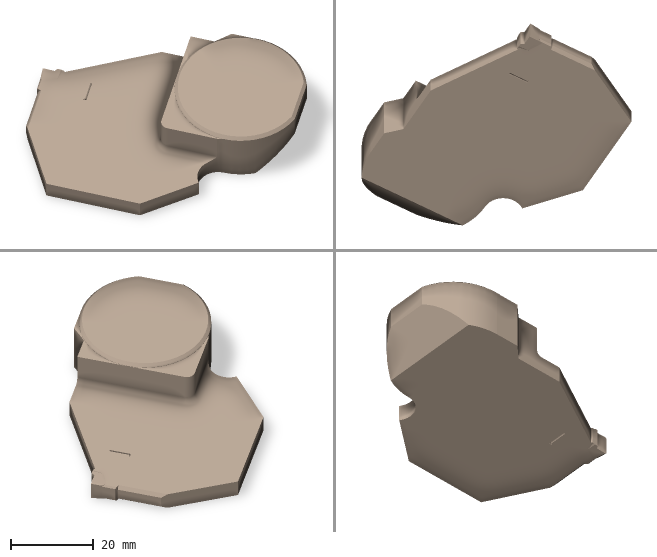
import cadquery as cq
import math

plate_thickness = 4.5
total_top = 13.75
shoulder_top = 12.9

disc_radius = 16.0
disc_flat_x = 15.0
disc_rim_chamfer = 0.75
disc_relief = 7.5

block_left = -16.0
block_front = -16.25
back_y = 12.6
block_corner_radius = 2.0
block_root_radius = 1.5
tab_left = -6.6
selection_margin = 0.1

plate_left = -49.0
plate_front = -34.0
plate_edge_chamfer = 0.8
plate_back_corner_x = -23.2
plate_front_left_x = -39.4
plate_front_right_x = -16.0
back_slope = math.radians(30)
front_slope = math.radians(60)

notch_radius = 5.0
notch_center_y = -disc_radius - notch_radius
notch_tip = (-4.0, -24.0)

insert_tip_x = -49.6
insert_left = -49.4
insert_left_relief_y = -2.6
insert_top = 0.8
insert_bottom = -6.5
insert_right = -36.9
pocket_overrun = 1.0
insert_corner_rise = 0.5
insert_corner_run = 1.0
insert_end_chamfer = 0.4
nose_end_x = -46.6
nose_rise_x = -46.1
neck_top = (-44.35, insert_top)
neck_root = (-43.8, -0.3)
seam_bend = (-41.2, -0.35)
heel_top = (insert_right, -1.28)

head_overhang = 0.3
head_crest_x = -49.2
head_bevel_drop = 0.2
head_bevel_low_drop = 0.1
head_low = (-48.74, -3.67)
head_end = (-45.33, -1.92)
step_foot = (-44.8, insert_top)
step_crest_x = -45.25
step_height = 0.2


def make_plate():
    """Flat plate with the two long slopes and the chamfered left edge."""
    left_back_y = back_y - (plate_back_corner_x - plate_left) * math.tan(back_slope)
    left_front_y = plate_front + (plate_front_left_x - plate_left) * math.tan(front_slope)
    outline = [
        (plate_left, left_back_y),
        (plate_left, left_front_y),
        (plate_front_left_x, plate_front),
        (plate_front_right_x, plate_front),
        notch_tip,
        (0, -disc_radius),
        (0, back_y),
        (plate_back_corner_x, back_y),
    ]
    plate = cq.Workplane("XY").polyline(outline).close().extrude(plate_thickness)
    return plate.faces("<X").edges("|Y").chamfer(plate_edge_chamfer)


def make_block():
    """Shoulder block with a rounded front-left corner."""
    block = (
        cq.Workplane("XY")
        .moveTo(block_left, block_front)
        .lineTo(0, block_front)
        .lineTo(0, back_y)
        .lineTo(block_left, back_y)
        .close()
        .extrude(shoulder_top)
    )
    return block.edges("|Z and <X and <Y").fillet(block_corner_radius)


def make_tab():
    """Sloped corner that joins the block to the back of the disc."""
    tab_rise = disc_radius - back_y
    return (
        cq.Workplane("XY")
        .polyline([
            (tab_left - tab_rise, back_y),
            (0, back_y),
            (0, disc_radius),
            (tab_left, disc_radius),
        ])
        .close()
        .extrude(shoulder_top)
    )


def make_disc():
    """Disc with a flat on its right side, a chamfered rim and a sloped relief under the flat."""
    beyond = disc_radius - disc_flat_x
    flat_cut = (
        cq.Workplane("XY")
        .box(beyond, 2 * disc_radius, total_top, centered=(False, True, False))
        .translate((disc_flat_x, 0, 0))
    )
    disc = cq.Workplane("XY").circle(disc_radius).extrude(total_top).cut(flat_cut)
    disc = disc.faces(">Z").edges().chamfer(disc_rim_chamfer)
    relief = (
        cq.Workplane("XZ")
        .polyline([(disc_flat_x - disc_relief, 0), (disc_flat_x, 0), (disc_flat_x, disc_relief)])
        .close()
        .extrude(disc_radius, both=True)
    )
    return disc.cut(relief)


def make_pocket():
    """Through opening at the plate's left end, with square corners around the insert."""
    outside_x = insert_tip_x - pocket_overrun
    outline = [
        (outside_x, insert_top),
        neck_top,
        neck_root,
        seam_bend,
        heel_top,
        (insert_right, insert_bottom),
        (outside_x, insert_bottom),
    ]
    return cq.Workplane("XY").polyline(outline).close().extrude(plate_thickness)


def make_holder():
    """Plate, block, tab and disc in one piece, with the notch and the insert pocket cut out."""
    base = make_plate().union(make_block())
    root = cq.selectors.BoxSelector(
        (block_left - selection_margin, block_front - selection_margin, plate_thickness - selection_margin),
        (selection_margin, back_y + selection_margin, plate_thickness + selection_margin),
    )
    base = base.edges(root).fillet(block_root_radius)
    notch = cq.Workplane("XY").center(0, notch_center_y).circle(notch_radius).extrude(total_top)
    base = base.cut(notch)
    return base.union(make_tab()).union(make_disc()).cut(make_pocket())


def make_insert_body():
    """Flat part of the insert, with cut lower corners and chamfered ends."""
    outline = [
        step_foot,
        neck_top,
        neck_root,
        seam_bend,
        heel_top,
        (insert_right, insert_bottom + insert_corner_rise),
        (insert_right - insert_corner_run, insert_bottom),
        (insert_left + insert_corner_run, insert_bottom),
        (insert_left, insert_bottom + insert_corner_rise),
        (insert_left, insert_left_relief_y),
        head_low,
        head_end,
    ]
    body = cq.Workplane("XY").polyline(outline).close().extrude(plate_thickness)
    return body.faces("<X or >X").edges("|Y").chamfer(insert_end_chamfer)


def space_above(first, second, third):
    """Large block that fills the upper side of the plane through three points."""
    origin = cq.Vector(*first)
    along = cq.Vector(*second) - origin
    normal = along.cross(cq.Vector(*third) - origin)
    if normal.z < 0:
        normal = -normal
    plane = cq.Plane(origin=origin, xDir=along, normal=normal)
    reach = total_top
    return cq.Workplane(plane).box(2 * reach, 2 * reach, reach, centered=(True, True, False))


def make_insert_head():
    """Cutting head, the same on both sides of the plate's middle plane."""
    outline = [
        (insert_tip_x, 0),
        (nose_end_x, 0),
        (nose_rise_x, insert_top),
        step_foot,
        head_end,
        head_low,
        (insert_left, insert_left_relief_y),
    ]
    middle = plate_thickness / 2
    half = (
        cq.Workplane("XY", origin=(0, 0, middle))
        .polyline(outline)
        .close()
        .extrude(middle + 2 * head_overhang)
    )
    crest_z = plate_thickness + head_overhang
    crest = (head_crest_x, 0, crest_z)
    low_end = (*head_end, plate_thickness)

    half = half.cut(space_above(crest, (*head_low, plate_thickness), low_end))

    step_crest = (step_crest_x, insert_top, plate_thickness + step_height)
    half = half.cut(space_above(low_end, (*step_foot, plate_thickness), step_crest))

    bevel_high = (insert_tip_x, 0, crest_z - head_bevel_drop)
    bevel_low = (insert_left, insert_left_relief_y, plate_thickness - head_bevel_low_drop)
    half = half.cut(space_above(crest, bevel_high, bevel_low))

    return half.union(half.mirror("XY", (0, 0, middle)))


holder = make_holder()
insert = make_insert_body().union(make_insert_head())
result = cq.Compound.makeCompound([holder.val(), insert.val()])